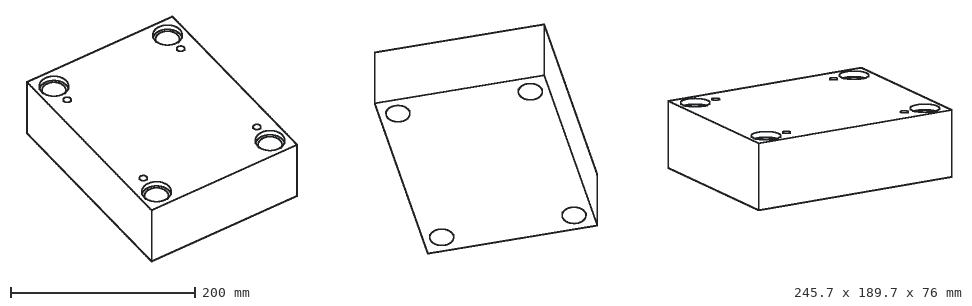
import cadquery as cq
import math

length = 245.7
width = 189.7
height = 76.0

bore_diameter = 26.0
counterbore_diameter = 32.0
counterbore_depth = 6.3
bore_spacing_x = 202.0
bore_spacing_y = 148.0

drill_diameter = 8.5
drill_depth = 20.0
drill_point_angle = 118.0
drill_spacing_x = 150.0
drill_spacing_y = bore_spacing_y


def make_block():
    return cq.Workplane("XY").box(length, width, height, centered=(True, True, False))


def cut_corner_bores(body):
    return (
        body.faces(">Z")
        .workplane(origin=(0, 0, height))
        .rarray(bore_spacing_x, bore_spacing_y, 2, 2)
        .cboreHole(bore_diameter, counterbore_diameter, counterbore_depth)
    )


def cut_drilled_holes(body):
    radius = drill_diameter / 2
    point_length = radius / math.tan(math.radians(drill_point_angle / 2))
    shoulder_z = height - drill_depth
    drill = (
        cq.Workplane("XZ")
        .moveTo(0, height)
        .lineTo(radius, height)
        .lineTo(radius, shoulder_z)
        .lineTo(0, shoulder_z - point_length)
        .close()
        .revolve(360, (0, 0, 0), (0, 1, 0))
    )
    for side_x in (-1, 1):
        for side_y in (-1, 1):
            centre = (side_x * drill_spacing_x / 2, side_y * drill_spacing_y / 2, 0)
            body = body.cut(drill.translate(centre))
    return body


result = make_block()
result = cut_corner_bores(result)
result = cut_drilled_holes(result)